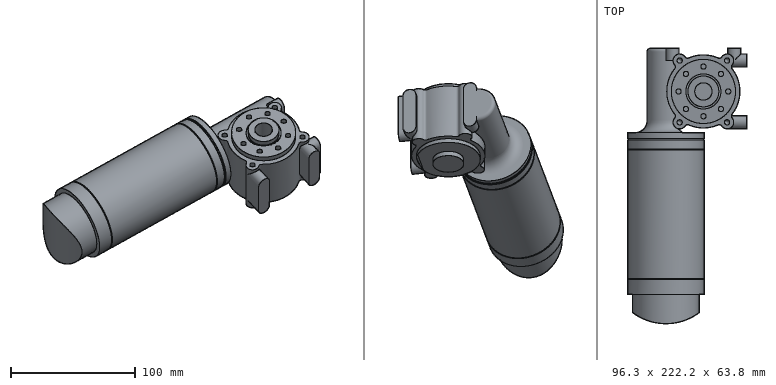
import cadquery as cq
import math


overall_length = 222.2
overall_height = 63.8
housing_top_y = 35.0
housing_right_x = 35.1

motor_diameter = 62.0
motor_radius = motor_diameter / 2
motor_axis_x = -30.2
flange_face_y = -33.1
flange_back_y = -37.8
front_groove_width = 1.3
front_groove_depth = 0.7
can_front_y = -47.1
can_back_y = -151.0
seam_width = 0.7
seam_depth = 0.2
cap_back_y = -163.5
plug_diameter = 54.0
plug_tip_y = housing_top_y - overall_length
plug_crown_radius = 44.5

body_radius = 29.5
body_top_z = 23.8
body_bottom_z = -24.2
lug_x = 19.1
lug_y = 25.0
lug_radius = 5.3
lug_blend_radius = 2.2
lug_hole_diameter = 4.2
lug_hole_depth = 6.7
lug_hole_tip_angle = 90.0
top_plate_diameter = 51.8
top_plate_z = 28.5
bottom_plate_diameter = 51.5
bottom_plate_z = -27.8
bottom_bevel = 3.1
recess_diameter = 28.2
recess_depth = 1.1
face_hole_count = 8
face_hole_diameter = 4.2
face_hole_circle_radius = 20.0
face_hole_depth = 6.7

tube_radius = 15.3
tube_end_fillet = 3.0
flare_radius = 9.3
relief_start_x = -24.2
relief_start_y = -26.7
relief_end_x = -17.0

boss_width = 2 * lug_radius
boss_height = 41.5
boss_offset = lug_y

shaft_diameter = 25.0
shaft_bore_diameter = 14.0
shaft_bore_depth = overall_height / 2


def motor_cylinder(radius, front_y, back_y):
    """Solid cylinder on the motor axis, running from front_y back to back_y."""
    return (
        cq.Workplane("XZ", origin=(motor_axis_x, front_y, 0))
        .circle(radius)
        .extrude(front_y - back_y)
    )


def z_cylinder(radius, bottom_z, top_z):
    """Solid cylinder on the output shaft axis."""
    return cq.Workplane("XY").workplane(offset=bottom_z).circle(radius).extrude(top_z - bottom_z)


def make_lugged_body():
    """Round body with four corner lugs, blended where the lugs meet it."""
    body = z_cylinder(body_radius, body_bottom_z, body_top_z)
    lugs = (
        cq.Workplane("XY")
        .workplane(offset=body_bottom_z)
        .rect(2 * lug_x, 2 * lug_y, forConstruction=True)
        .vertices()
        .circle(lug_radius)
        .extrude(body_top_z - body_bottom_z)
    )
    lugged = body.union(lugs)
    inner_corners = [
        edge
        for edge in lugged.edges("|Z").vals()
        if math.isclose(math.hypot(edge.Center().x, edge.Center().y), body_radius, rel_tol=1e-3)
        and abs(edge.Center().y) > lug_radius
    ]
    return lugged.newObject(inner_corners).fillet(lug_blend_radius)


def make_bottom_plate():
    """Lower plate, bevelled flat along its +X side."""
    radius = bottom_plate_diameter / 2
    plate = z_cylinder(radius, bottom_plate_z, body_bottom_z)
    bevel = (
        cq.Workplane("XZ", origin=(0, radius, 0))
        .moveTo(radius, bottom_plate_z)
        .lineTo(radius, bottom_plate_z + bottom_bevel)
        .lineTo(radius - bottom_bevel, bottom_plate_z)
        .close()
        .extrude(2 * radius)
    )
    return plate.cut(bevel)


def make_worm_tube():
    """Rounded-end tube flared onto the motor flange, cut back on +X beyond the corner lugs."""
    flare_start_y = flange_face_y + flare_radius
    arc_in = flare_radius * (1 - math.sqrt(0.5))
    end_in = tube_end_fillet * (1 - math.sqrt(0.5))
    flare_tube = (
        cq.Workplane("XY", origin=(motor_axis_x, 0, 0))
        .moveTo(0, flange_face_y)
        .lineTo(tube_radius + flare_radius, flange_face_y)
        .threePointArc((tube_radius + arc_in, flange_face_y + arc_in), (tube_radius, flare_start_y))
        .lineTo(tube_radius, housing_top_y - tube_end_fillet)
        .threePointArc(
            (tube_radius - end_in, housing_top_y - end_in),
            (tube_radius - tube_end_fillet, housing_top_y),
        )
        .lineTo(0, housing_top_y)
        .close()
        .revolve(360, (0, 0, 0), (0, 1, 0))
    )
    flare_relief = (
        cq.Workplane("XY", origin=(0, 0, -motor_radius))
        .moveTo(relief_start_x, relief_start_y)
        .lineTo(relief_end_x, flange_face_y)
        .lineTo(0, flange_face_y)
        .lineTo(0, relief_start_y)
        .close()
        .extrude(motor_diameter)
    )
    end_relief = (
        cq.Workplane("XY", origin=(0, 0, -motor_radius))
        .moveTo(-boss_offset, lug_y)
        .lineTo(-boss_offset, housing_top_y)
        .lineTo(0, housing_top_y)
        .lineTo(0, lug_y)
        .close()
        .extrude(motor_diameter)
    )
    return flare_tube.cut(flare_relief).cut(end_relief)


def make_side_boss(y):
    """Boss pointing along +X."""
    return (
        cq.Workplane("YZ", origin=(lug_x, y, 0))
        .slot2D(boss_height, boss_width, 90)
        .extrude(housing_right_x - lug_x)
    )


def make_end_boss(x):
    """Boss pointing along +Y."""
    return (
        cq.Workplane("XZ", origin=(x, housing_top_y, 0))
        .slot2D(boss_height, boss_width, 90)
        .extrude(housing_top_y - lug_y)
    )


def make_lug_hole(x, y):
    """Blind drilled hole with a conical bottom."""
    radius = lug_hole_diameter / 2
    tip_depth = radius / math.tan(math.radians(lug_hole_tip_angle / 2))
    return (
        cq.Workplane("XZ", origin=(x, y, body_top_z))
        .lineTo(radius, 0)
        .lineTo(radius, -lug_hole_depth)
        .lineTo(0, -lug_hole_depth - tip_depth)
        .close()
        .revolve(360, (0, 0, 0), (0, 1, 0))
    )


def make_housing():
    housing = make_lugged_body()
    housing = housing.union(z_cylinder(top_plate_diameter / 2, body_top_z, top_plate_z))
    housing = housing.union(make_bottom_plate())
    housing = housing.union(make_worm_tube())
    housing = housing.union(motor_cylinder(motor_radius, flange_face_y, flange_back_y))
    for side in (-1, 1):
        housing = housing.union(make_side_boss(side * boss_offset))
        housing = housing.union(make_end_boss(side * boss_offset))

    for x in (-lug_x, lug_x):
        for y in (-lug_y, lug_y):
            housing = housing.cut(make_lug_hole(x, y))

    face_holes = (
        cq.Workplane("XY")
        .workplane(offset=top_plate_z)
        .polarArray(face_hole_circle_radius, 0, 360, face_hole_count)
        .circle(face_hole_diameter / 2)
        .extrude(-face_hole_depth)
    )
    housing = housing.cut(face_holes)
    housing = housing.cut(z_cylinder(recess_diameter / 2, top_plate_z - recess_depth, top_plate_z))
    return housing.cut(z_cylinder(shaft_diameter / 2, bottom_plate_z, top_plate_z))


def make_shaft():
    """Shaft through the housing with a blind bore from the top."""
    half_height = overall_height / 2
    shaft = z_cylinder(shaft_diameter / 2, -half_height, half_height)
    return shaft.cut(z_cylinder(shaft_bore_diameter / 2, half_height - shaft_bore_depth, half_height))


def make_front_ring():
    """Ring between flange and can, necked at both ends to leave narrow grooves."""
    ring_front_y = flange_back_y - front_groove_width
    ring_back_y = can_front_y + seam_width
    ring = motor_cylinder(motor_radius, ring_front_y, ring_back_y)
    front_neck = motor_cylinder(motor_radius - front_groove_depth, flange_back_y, ring_front_y)
    back_neck = motor_cylinder(motor_radius - seam_depth, ring_back_y, can_front_y)
    return ring.union(front_neck).union(back_neck)


def make_can():
    return motor_cylinder(motor_radius, can_front_y, can_back_y)


def make_end_cap():
    """Rear cap with a narrow neck and a smaller plug whose end is crowned about Z."""
    cap_front_y = can_back_y - seam_width
    neck = motor_cylinder(motor_radius - seam_depth, can_back_y, cap_front_y)
    cap = motor_cylinder(motor_radius, cap_front_y, cap_back_y)
    plug = motor_cylinder(plug_diameter / 2, cap_back_y, plug_tip_y)
    crown = (
        cq.Workplane("XY", origin=(motor_axis_x, plug_tip_y + plug_crown_radius, -motor_radius))
        .circle(plug_crown_radius)
        .extrude(motor_diameter)
    )
    return neck.union(cap).union(plug.intersect(crown))


housing = make_housing()
shaft = make_shaft()
front_ring = make_front_ring()
can = make_can()
end_cap = make_end_cap()

result = cq.Compound.makeCompound(
    [housing.val(), shaft.val(), front_ring.val(), can.val(), end_cap.val()]
)